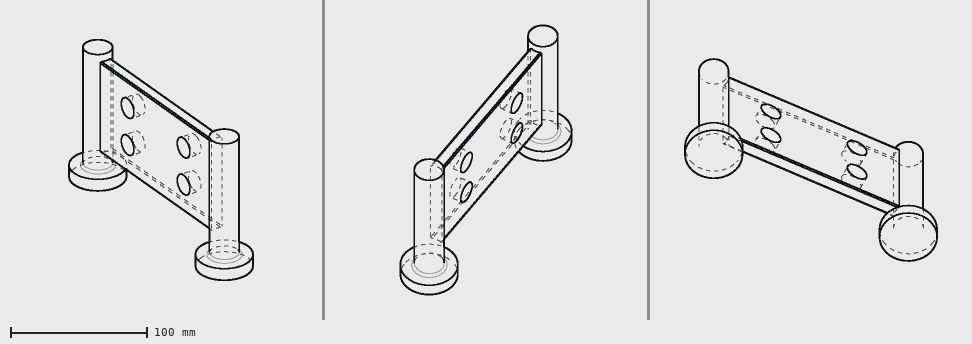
import cadquery as cq

overall_length = 203.0

foot_diameter = 42.5
foot_height = 10.0
post_diameter = 22.0
post_height = 110.0
foot_fillet = 2.0
post_spacing = overall_length - foot_diameter

plate_thickness = 9.7
plate_height = 77.0
plate_top_gap = 6.3
plate_chamfer = 1.0
plate_center_z = post_height - plate_top_gap - plate_height / 2

hole_diameter = 16.0
hole_spacing_x = 71.0
hole_spacing_z = 31.5


def make_post(center_x):
    """Foot and bar in one piece, with a fillet where the bar meets the foot."""
    foot_radius = foot_diameter / 2
    bar_radius = post_diameter / 2
    fillet_top = foot_height + foot_fillet
    fillet_edge = bar_radius + foot_fillet
    profile = (
        cq.Workplane("XZ")
        .lineTo(foot_radius, 0)
        .lineTo(foot_radius, foot_height)
        .lineTo(fillet_edge, foot_height)
        .radiusArc((bar_radius, fillet_top), foot_fillet)
        .lineTo(bar_radius, post_height)
        .lineTo(0, post_height)
        .close()
    )
    return profile.revolve(360, (0, 0, 0), (0, 1, 0)).translate((center_x, 0, 0))


def make_plate(posts):
    """Plate with chamfered long edges, drilled and hollowed at its ends to fit the posts."""
    plate = (
        cq.Workplane("XY")
        .box(post_spacing, plate_thickness, plate_height)
        .edges("|X")
        .chamfer(plate_chamfer)
    )
    holes = (
        cq.Workplane("XZ")
        .rarray(hole_spacing_x, hole_spacing_z, 2, 2)
        .circle(hole_diameter / 2)
        .extrude(plate_thickness / 2, both=True)
    )
    plate = plate.cut(holes).translate((0, 0, plate_center_z))
    for post in posts:
        plate = plate.cut(post)
    return plate


posts = [make_post(side * post_spacing / 2) for side in (-1, 1)]
plate = make_plate(posts)

result = cq.Compound.makeCompound([plate.solids().val(), *[post.val() for post in posts]])